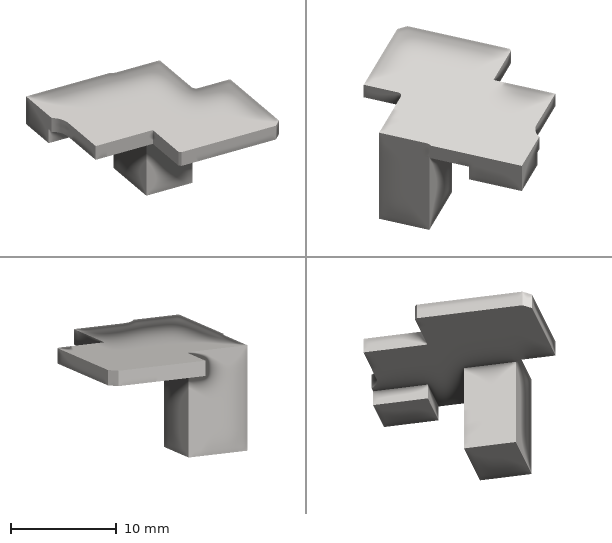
import cadquery as cq
import math

length_x = 16.75
length_y = 18.41
height = 10.25

plate_thickness = 1.5
back_notch_x = 6.74
back_notch_y = 14.47
back_notch_radius = 0.5
front_notch_x = 11.67
front_notch_y = 7.12
back_chamfer = 0.75
front_chamfer = 0.22

side_recess_depth = 0.22
side_recess_radius = 1.1
side_recess_arc_end_y = 9.8
front_recess_depth = 0.88
front_recess_radius = 1.93
front_recess_arc_end_x = 6.48

pad_x = 4.29
pad_y = 5.34
pad_height = 3.0
post_right_x = front_recess_arc_end_x
post_front_y = 9.4


def arc_run(radius, depth, fraction=1.0):
    """Distance along the tangent at which an arc has dropped a fraction of the depth."""
    drop = depth * fraction
    return math.sqrt(radius**2 - (radius - drop) ** 2)


def block(x_min, x_max, y_min, y_max, block_height):
    """Box hanging down from the top face."""
    return (
        cq.Workplane("XY")
        .box(x_max - x_min, y_max - y_min, block_height, centered=False)
        .translate((x_min, y_min, -block_height))
    )


def make_plate():
    front_run = arc_run(front_recess_radius, front_recess_depth)
    front_mid_run = arc_run(front_recess_radius, front_recess_depth, 0.5)
    side_run = arc_run(side_recess_radius, side_recess_depth)
    side_mid_run = arc_run(side_recess_radius, side_recess_depth, 0.5)
    outline = (
        cq.Workplane("XY")
        .moveTo(0, 0)
        .lineTo(front_recess_arc_end_x - front_run, 0)
        .threePointArc(
            (front_recess_arc_end_x - front_mid_run, front_recess_depth / 2),
            (front_recess_arc_end_x, front_recess_depth),
        )
        .lineTo(front_notch_x, front_recess_depth)
        .lineTo(front_notch_x, front_notch_y)
        .lineTo(length_x - front_chamfer, front_notch_y)
        .lineTo(length_x, front_notch_y + front_chamfer)
        .lineTo(length_x, length_y - back_chamfer)
        .lineTo(length_x - back_chamfer, length_y)
        .lineTo(back_notch_x, length_y)
        .lineTo(back_notch_x, back_notch_y + back_notch_radius)
        .radiusArc((back_notch_x - back_notch_radius, back_notch_y), back_notch_radius)
        .lineTo(side_recess_depth, back_notch_y)
        .lineTo(side_recess_depth, side_recess_arc_end_y)
        .threePointArc(
            (side_recess_depth / 2, side_recess_arc_end_y - side_mid_run),
            (0, side_recess_arc_end_y - side_run),
        )
        .close()
    )
    return outline.extrude(-plate_thickness)


pad = block(0, pad_x, 0, pad_y, pad_height)
post = block(side_recess_depth, post_right_x, post_front_y, back_notch_y, height)

result = make_plate().union(pad).union(post)